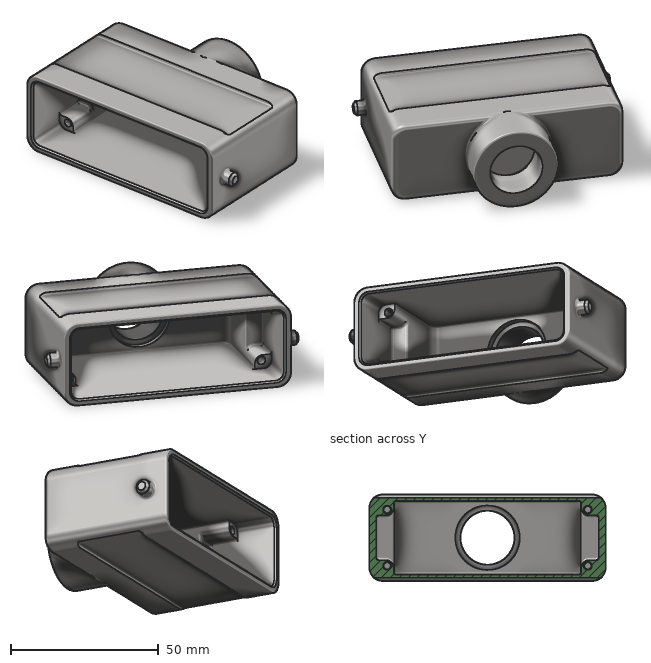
import cadquery as cq
span_over_pins = 89.0
body_width = 80.5
body_height = 29.5
body_length = 47.5
neck_length = 12.5
corner_radius = 5.0
rear_edge_radius = 2.1
rim_outer_radius = 0.5

recess_depth = 1.2
recess_start = 10.8
recess_length = 25.0
recess_edge_radius = 1.11

side_wall = 2.6
flat_wall = 2.3
rear_wall = 2.5
rim_inner_chamfer = 0.6
inner_corner_radius = 2.9
rear_cavity_width = 63.4
rear_corner_radius = 2.85
rear_floor_radius = 0.7

post_face = 14.7
post_pocket_depth = 10.7
post_pocket_height = 15.1
post_corner_radius = 2.9
pocket_edge_radius = 0.9
pocket_side_radius = 0.8
screw_hole_mouth = 2.85
screw_hole_end = 2.4
screw_hole_depth = 8.9
screw_spacing_x = 68.0
screw_spacing_z = 19.05

neck_diameter = body_height
neck_tip_radius = 0.9
neck_base_radius = 1.0
bore_diameter = 18.25
inner_bore_diameter = 21.9

pin_diameter = 5.0
pin_center = 7.3
pin_tip_chamfer = 1.0
pin_base_radius = 1.1

root_margin = 0.45
total_length = body_length + neck_length
floor_y = body_length - rear_wall
cavity_width = body_width - 2 * side_wall
cavity_height = body_height - 2 * flat_wall


def block(width, start, length, height):
    """Box centred on X and Z that runs from Y = start along +Y."""
    return cq.Workplane("XY").box(width, length, height).translate((0, start + length / 2, 0))


def rod(diameter, start, end):
    """Cylinder on the Y axis between two Y positions."""
    return cq.Workplane("XZ", origin=(0, start, 0)).circle(diameter / 2).extrude(start - end)


def outer_body():
    body = block(body_width, 0, body_length, body_height).edges("|Y").fillet(corner_radius)
    body = body.faces(">Y").edges().fillet(rear_edge_radius)
    return body.faces("<Y").edges().fillet(rim_outer_radius)


def add_neck(body):
    """Join the neck and blend its root into the rear face and the rounded rear edge."""
    neck = rod(neck_diameter, floor_y, total_length).faces(">Y").edges().fillet(neck_tip_radius)
    joined = body.union(neck)
    reach = neck_diameter / 2 + root_margin
    root_zone = cq.selectors.BoxSelector(
        (-reach, floor_y - root_margin, -reach),
        (reach, body_length + root_margin, reach),
        boundingbox=True,
    )
    return joined.edges(root_zone).fillet(neck_base_radius)


def grip_recess(side):
    """Cutter for the shallow recess across the upper (+1) or lower (-1) face."""
    depth = 2 * recess_depth
    cutter = block(body_width, recess_start, recess_length, depth)
    cutter = cutter.edges("|X").fillet(recess_edge_radius)
    return cutter.translate((0, 0, side * body_height / 2))


def locking_pin():
    """Pin on the +X side: chamfered tip and a concave flare where it meets the wall."""
    wall_x = body_width / 2
    tip_x = span_over_pins / 2
    root_x = wall_x - side_wall / 2
    radius = pin_diameter / 2
    profile = (
        cq.Workplane("XY")
        .moveTo(root_x, 0)
        .lineTo(root_x, radius + pin_base_radius)
        .lineTo(wall_x, radius + pin_base_radius)
        .radiusArc((wall_x + pin_base_radius, radius), -pin_base_radius)
        .lineTo(tip_x - pin_tip_chamfer, radius)
        .lineTo(tip_x, radius - pin_tip_chamfer)
        .lineTo(tip_x, 0)
        .close()
    )
    pin = profile.revolve(360, (0, 0, 0), (1, 0, 0))
    return pin.translate((0, pin_center, 0))


def mouth():
    """Full-width front part of the cavity, widened by a chamfer at the rim."""
    opening = block(cavity_width, 0, post_face, cavity_height).edges("|Y").fillet(inner_corner_radius)
    rim_width = cavity_width + 2 * rim_inner_chamfer
    rim_height = cavity_height + 2 * rim_inner_chamfer
    rim = cq.Sketch().rect(rim_width, rim_height).vertices().fillet(inner_corner_radius + rim_inner_chamfer)
    flare = cq.Workplane("XZ").placeSketch(rim).extrude(-rim_inner_chamfer, taper=45)
    return opening.union(flare)


def rear_cavity():
    """Narrower deep part of the cavity, with end pockets that leave a screw post in each corner."""
    center = block(rear_cavity_width, post_face, floor_y - post_face, cavity_height)
    center = center.edges("|Z and >Y").fillet(rear_corner_radius)
    center = center.faces(">Y").edges("|X").fillet(rear_floor_radius)
    pocket = block(cavity_width, post_face, post_pocket_depth, post_pocket_height)
    cavity = center.union(pocket)

    half_width = rear_cavity_width / 2
    half_height = post_pocket_height / 2
    for x in (-half_width, half_width):
        for z in (-half_height, half_height):
            corner = cq.selectors.NearestToPointSelector((x, post_face + post_pocket_depth / 2, z))
            cavity = cavity.edges("|Y").edges(corner).fillet(post_corner_radius)

    for side in (-1, 1):
        shelf_center = (side * (half_width + cavity_width / 2) / 2, post_face + post_pocket_depth, 0)
        shelf = cq.selectors.NearestToPointSelector(shelf_center)
        cavity = cavity.faces(shelf).edges().fillet(pocket_edge_radius)
    return cavity.edges("|Y").edges("<X or >X").fillet(pocket_side_radius)


def screw_holes():
    """Four slightly tapered blind holes, one in the end of each post."""
    hole = (
        cq.Workplane("XZ", origin=(0, post_face, 0))
        .circle(screw_hole_mouth / 2)
        .workplane(offset=-screw_hole_depth)
        .circle(screw_hole_end / 2)
        .loft()
    )
    holes = cq.Workplane("XY")
    for x in (-screw_spacing_x / 2, screw_spacing_x / 2):
        for z in (-screw_spacing_z / 2, screw_spacing_z / 2):
            holes = holes.union(hole.translate((x, 0, z)))
    return holes


shell = add_neck(outer_body())
for side in (1, -1):
    shell = shell.cut(grip_recess(side))
pin = locking_pin()
shell = shell.union(pin).union(pin.mirror("YZ"))
shell = shell.cut(mouth()).cut(rear_cavity()).cut(screw_holes())
shell = shell.cut(rod(inner_bore_diameter, 0, body_length))
result = shell.cut(rod(bore_diameter, 0, total_length))